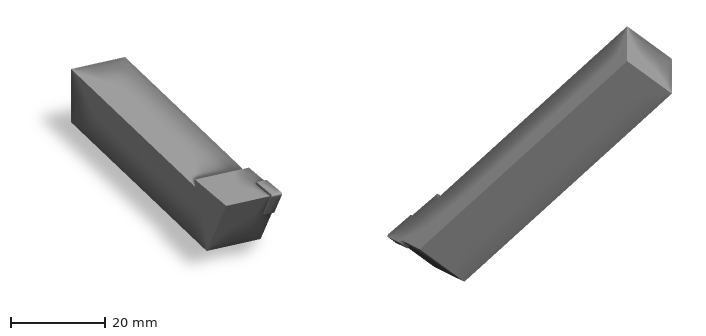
import cadquery as cq
import math

shank_size = 12.7
head_start_x = 60.2
head_tip_x = 75.35
head_tip_z = 15.2
top_angle = math.radians(3)
relief_angle = math.radians(58)

overall_length = 76.2
overall_height = 15.87
insert_width = 2.4
insert_bottom_z = 9.4
corner_radius = 0.4
corner_spacing = 6.93


def head_top_z(x):
    """Height of the sloped head top at the given X."""
    return head_tip_z - (head_tip_x - x) * math.tan(top_angle)


def relief_x(z):
    """X of the holder's front relief face at the given height."""
    return head_tip_x - (head_tip_z - z) / math.tan(relief_angle)


def point_from(start, distance, angle):
    """Point in XZ at a distance and direction from another one."""
    return (start[0] + distance * math.cos(angle), start[1] + distance * math.sin(angle))


def make_holder():
    return (
        cq.Workplane("XZ")
        .moveTo(0, 0)
        .lineTo(relief_x(0), 0)
        .lineTo(head_tip_x, head_tip_z)
        .lineTo(head_start_x, head_top_z(head_start_x))
        .lineTo(head_start_x, shank_size)
        .lineTo(0, shank_size)
        .close()
        .extrude(-shank_size)
    )


def make_insert():
    """Insert with a rounded nose, a rounded rear corner and a rear face parallel to its front flank."""
    top_normal = top_angle + math.pi / 2
    flank_normal = relief_angle - math.pi / 2
    rear_normal = relief_angle + math.pi / 2

    nose_center = (overall_length - corner_radius, overall_height - corner_radius)
    rear_center = point_from(nose_center, -corner_spacing, top_angle)

    flank_top = point_from(nose_center, corner_radius, flank_normal)
    nose_middle = point_from(nose_center, corner_radius, (flank_normal + top_normal) / 2)
    top_front = point_from(nose_center, corner_radius, top_normal)
    top_rear = point_from(rear_center, corner_radius, top_normal)
    rear_middle = point_from(rear_center, corner_radius, (top_normal + rear_normal) / 2)
    rear_face_top = point_from(rear_center, corner_radius, rear_normal)

    flank_length = (flank_top[1] - insert_bottom_z) / math.sin(relief_angle)
    rear_length = (rear_face_top[1] - insert_bottom_z) / math.sin(relief_angle)
    flank_bottom = point_from(flank_top, -flank_length, relief_angle)
    rear_face_bottom = point_from(rear_face_top, -rear_length, relief_angle)

    return (
        cq.Workplane("XZ", origin=(0, shank_size, 0))
        .moveTo(*flank_bottom)
        .lineTo(*flank_top)
        .threePointArc(nose_middle, top_front)
        .lineTo(*top_rear)
        .threePointArc(rear_middle, rear_face_top)
        .lineTo(*rear_face_bottom)
        .close()
        .extrude(insert_width)
    )


result = make_holder().union(make_insert())